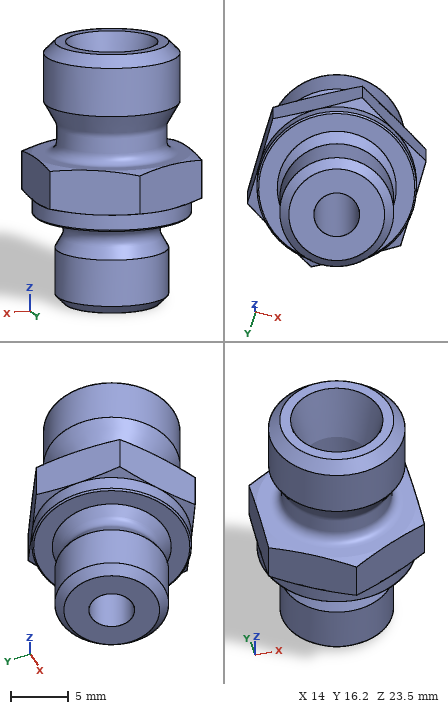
import cadquery as cq
import math


TOTAL_LENGTH = 23.5

PORT_RADIUS = 10.0 / 2
PORT_CHAMFER = 0.8
PORT_SHOULDER_Z = 4.97
PORT_NECK_RADIUS = 8.54 / 2
PORT_NECK_FILLET = 1.0
PORT_NECK_UPPER_ANGLE = math.radians(40)

FLANGE_BOTTOM_Z = 8.0
FLANGE_RADIUS = 14.0 / 2
FLANGE_CHAMFER = 0.15
HEX_BOTTOM_Z = 9.5
HEX_TOP_Z = 13.5
HEX_ACROSS_FLATS = 14.0
HEX_CHAMFER_ANGLE = math.radians(15)

TUBE_RADIUS = 12.0 / 2
TUBE_CHAMFER = 1.0
TUBE_SHOULDER_Z = 18.15
TUBE_NECK_RADIUS = 9.7 / 2
TUBE_NECK_FILLET = 1.0

RUNOUT_ANGLE = math.radians(30)

BORE_RADIUS = 4.0 / 2
SOCKET_RADIUS = 6.0 / 2
SOCKET_DEPTH = 7.0
SEAT_MOUTH_RADIUS = 8.1 / 2
SEAT_HALF_ANGLE = math.radians(12)


def arc_point(center, radius, angle):
    """Point on the axis-facing side of a neck arc; the angle is the tilt of the tangent from the axis."""
    return center[0] - radius * math.cos(angle), center[1] + radius * math.sin(angle)


def revolve_profile(profile):
    """Turn a closed (radius, height) outline once around the Z axis."""
    return profile.close().revolve(360, (0, 0, 0), (0, 1, 0))


def make_port_stud():
    """Lower stud with an undercut between the thread and the flange."""
    arc_radius = PORT_NECK_RADIUS + PORT_NECK_FILLET
    runout_end_r = arc_radius - PORT_NECK_FILLET * math.cos(RUNOUT_ANGLE)
    runout_end_z = PORT_SHOULDER_Z + (PORT_RADIUS - runout_end_r) / math.tan(RUNOUT_ANGLE)
    center = (arc_radius, runout_end_z + PORT_NECK_FILLET * math.sin(RUNOUT_ANGLE))
    upper_end = arc_point(center, PORT_NECK_FILLET, PORT_NECK_UPPER_ANGLE)
    face_radius = upper_end[0] + (FLANGE_BOTTOM_Z - upper_end[1]) * math.tan(PORT_NECK_UPPER_ANGLE)
    return revolve_profile(
        cq.Workplane("XZ")
        .lineTo(PORT_RADIUS - PORT_CHAMFER, 0)
        .lineTo(PORT_RADIUS, PORT_CHAMFER)
        .lineTo(PORT_RADIUS, PORT_SHOULDER_Z)
        .lineTo(runout_end_r, runout_end_z)
        .threePointArc(arc_point(center, PORT_NECK_FILLET, 0), upper_end)
        .lineTo(face_radius, FLANGE_BOTTOM_Z)
        .lineTo(0, FLANGE_BOTTOM_Z)
    )


def make_flange():
    """Round collar under the hexagon."""
    return (
        cq.Workplane("XY", origin=(0, 0, FLANGE_BOTTOM_Z))
        .circle(FLANGE_RADIUS)
        .extrude(HEX_BOTTOM_Z - FLANGE_BOTTOM_Z)
        .faces("<Z")
        .edges()
        .chamfer(FLANGE_CHAMFER)
    )


def make_hexagon():
    """Hexagon with flats facing +X and -X, its corners turned down on both ends."""
    corner_diameter = HEX_ACROSS_FLATS / math.cos(math.pi / 6)
    prism = (
        cq.Workplane("XY", origin=(0, 0, HEX_BOTTOM_Z))
        .transformed(rotate=(0, 0, 90))
        .polygon(6, corner_diameter)
        .extrude(HEX_TOP_Z - HEX_BOTTOM_Z)
    )
    face_radius = HEX_ACROSS_FLATS / 2
    envelope_radius = HEX_ACROSS_FLATS
    drop = (envelope_radius - face_radius) * math.tan(HEX_CHAMFER_ANGLE)
    envelope = revolve_profile(
        cq.Workplane("XZ")
        .moveTo(0, HEX_BOTTOM_Z)
        .lineTo(face_radius, HEX_BOTTOM_Z)
        .lineTo(envelope_radius, HEX_BOTTOM_Z + drop)
        .lineTo(envelope_radius, HEX_TOP_Z - drop)
        .lineTo(face_radius, HEX_TOP_Z)
        .lineTo(0, HEX_TOP_Z)
    )
    return prism.intersect(envelope)


def make_tube_stud():
    """Upper stud with its neck rounded into the hexagon and into the thread run-out."""
    root_center = (TUBE_NECK_RADIUS + TUBE_NECK_FILLET, HEX_TOP_Z + TUBE_NECK_FILLET)
    corner_z = TUBE_SHOULDER_Z - (TUBE_RADIUS - TUBE_NECK_RADIUS) / math.tan(RUNOUT_ANGLE)
    tangent_length = TUBE_NECK_FILLET * math.tan(RUNOUT_ANGLE / 2)
    runout_center = (TUBE_NECK_RADIUS + TUBE_NECK_FILLET, corner_z - tangent_length)
    return revolve_profile(
        cq.Workplane("XZ")
        .moveTo(0, HEX_TOP_Z)
        .lineTo(root_center[0], HEX_TOP_Z)
        .threePointArc(
            arc_point(root_center, TUBE_NECK_FILLET, -math.pi / 4),
            arc_point(root_center, TUBE_NECK_FILLET, 0),
        )
        .lineTo(TUBE_NECK_RADIUS, runout_center[1])
        .threePointArc(
            arc_point(runout_center, TUBE_NECK_FILLET, RUNOUT_ANGLE / 2),
            arc_point(runout_center, TUBE_NECK_FILLET, RUNOUT_ANGLE),
        )
        .lineTo(TUBE_RADIUS, TUBE_SHOULDER_Z)
        .lineTo(TUBE_RADIUS, TOTAL_LENGTH - TUBE_CHAMFER)
        .lineTo(TUBE_RADIUS - TUBE_CHAMFER, TOTAL_LENGTH)
        .lineTo(0, TOTAL_LENGTH)
    )


def make_passage():
    """Through bore, tube socket and cone seat as one solid to be removed."""
    seat_depth = (SEAT_MOUTH_RADIUS - SOCKET_RADIUS) / math.tan(SEAT_HALF_ANGLE)
    return revolve_profile(
        cq.Workplane("XZ")
        .lineTo(BORE_RADIUS, 0)
        .lineTo(BORE_RADIUS, TOTAL_LENGTH - SOCKET_DEPTH)
        .lineTo(SOCKET_RADIUS, TOTAL_LENGTH - SOCKET_DEPTH)
        .lineTo(SOCKET_RADIUS, TOTAL_LENGTH - seat_depth)
        .lineTo(SEAT_MOUTH_RADIUS, TOTAL_LENGTH)
        .lineTo(0, TOTAL_LENGTH)
    )


body = make_port_stud().union(make_flange()).union(make_hexagon()).union(make_tube_stud())
result = body.cut(make_passage())